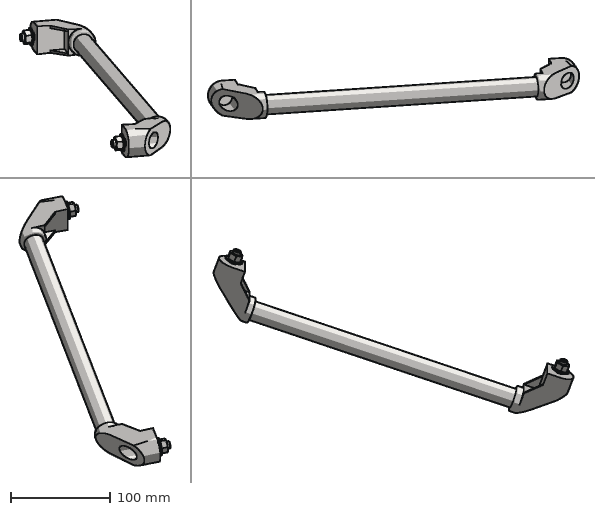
import cadquery as cq
import math

HOLE_SPACING = 350.0
BAR_DIAMETER = 20.0
BAR_HEIGHT = 42.0

FOOT_RADIUS = 15.0
FOOT_LENGTH = 28.0
FOOT_INNER_HEIGHT = 13.5
FOOT_OUTER_HEIGHT = 16.7
FOOT_RIM_HEIGHT = 1.0
SLOPE_RUN = 44.8
COLLAR_DIAMETER = 27.0
COLLAR_START = 43.0
COLLAR_END = 50.0
COLLAR_FILLET = 1.5
WEB_THICKNESS = 2.5
BORE_DIAMETER = 16.0
BORE_FLOOR = 10.0

STUD_DIAMETER = 8.0
STUD_LENGTH = 14.0
STUD_CHAMFER = 0.9
WASHER_DIAMETER = 18.2
WASHER_GAP = 2.6
WASHER_THICKNESS = 1.0
NUT_ACROSS_FLATS = 13.0
NUT_HEIGHT = 6.8
NUT_CHAMFER_ANGLE = 30.0

COLLAR_RADIUS = COLLAR_DIAMETER / 2
STUD_X = -HOLE_SPACING / 2
ARM_X = STUD_X - FOOT_RADIUS
FOOT_X = ARM_X + FOOT_LENGTH
COLLAR_X = ARM_X + COLLAR_START
COLLAR_END_X = ARM_X + COLLAR_END
COLLAR_BOTTOM = BAR_HEIGHT - COLLAR_RADIUS
COLLAR_TOP = BAR_HEIGHT + COLLAR_RADIUS


def cylinder_along_y(diameter, y_start, y_end):
    """Cylinder on the stud axis between two heights."""
    return (
        cq.Workplane("XZ", origin=(STUD_X, y_start, 0))
        .circle(diameter / 2)
        .extrude(y_start - y_end)
    )


def cylinder_along_x(diameter, x_start, x_end):
    """Cylinder on the bar axis between two X positions."""
    return (
        cq.Workplane("YZ", origin=(x_start, BAR_HEIGHT, 0))
        .circle(diameter / 2)
        .extrude(x_end - x_start)
    )


def make_arm_profile():
    """Cranked side profile of the arm, as thick as the foot is wide."""
    outline = [
        (ARM_X, 0),
        (FOOT_X, 0),
        (FOOT_X, FOOT_INNER_HEIGHT),
        (COLLAR_X, COLLAR_BOTTOM),
        (COLLAR_END_X, COLLAR_BOTTOM),
        (COLLAR_END_X, COLLAR_TOP),
        (ARM_X + SLOPE_RUN, COLLAR_TOP),
        (ARM_X, FOOT_OUTER_HEIGHT),
    ]
    return cq.Workplane("XY").polyline(outline).close().extrude(FOOT_RADIUS, both=True)


def make_drafted_section():
    """Section across the arm: flanks taper from the foot up to the round of the collar."""
    return (
        cq.Workplane("YZ", origin=(ARM_X, 0, 0))
        .moveTo(0, -FOOT_RADIUS)
        .lineTo(FOOT_RIM_HEIGHT, -FOOT_RADIUS)
        .lineTo(BAR_HEIGHT, -COLLAR_RADIUS)
        .threePointArc((COLLAR_TOP, 0), (BAR_HEIGHT, COLLAR_RADIUS))
        .lineTo(FOOT_RIM_HEIGHT, FOOT_RADIUS)
        .lineTo(0, FOOT_RADIUS)
        .close()
        .extrude(COLLAR_START)
    )


def make_rounded_plan():
    """Footprint of the arm with a semicircular outer end."""
    return (
        cq.Workplane("XZ")
        .moveTo(COLLAR_X, -FOOT_RADIUS)
        .lineTo(STUD_X, -FOOT_RADIUS)
        .threePointArc((ARM_X, 0), (STUD_X, FOOT_RADIUS))
        .lineTo(COLLAR_X, FOOT_RADIUS)
        .close()
        .extrude(-COLLAR_TOP)
    )


def make_collar():
    """Round socket that receives the bar, with its inner rim rounded."""
    collar = cylinder_along_x(COLLAR_DIAMETER, COLLAR_X, COLLAR_END_X)
    collar = collar.faces(">X").edges().fillet(COLLAR_FILLET)
    return collar.intersect(make_arm_profile())


def make_pocket():
    """Square-cornered pocket behind the inner slope, leaving a web on each side."""
    flank_half_width = (FOOT_RADIUS + COLLAR_RADIUS) / 2
    half_width = flank_half_width - WEB_THICKNESS
    return (
        cq.Workplane("XY")
        .moveTo(FOOT_X, 0)
        .lineTo(COLLAR_X, 0)
        .lineTo(COLLAR_X, COLLAR_BOTTOM)
        .lineTo(FOOT_X, COLLAR_BOTTOM)
        .close()
        .extrude(half_width, both=True)
    )


def make_nut(y_start):
    """Hexagon nut with its corners chamfered at both faces."""
    flat_radius = NUT_ACROSS_FLATS / 2
    corner_radius = flat_radius / math.cos(math.pi / 6)
    chamfer_width = corner_radius - flat_radius
    chamfer_height = chamfer_width * math.tan(math.radians(NUT_CHAMFER_ANGLE))
    hexagon = (
        cq.Workplane("XZ", origin=(STUD_X, y_start, 0))
        .transformed(rotate=(0, 0, 90))
        .polygon(6, 2 * corner_radius)
        .extrude(NUT_HEIGHT)
    )
    envelope = (
        cylinder_along_y(2 * corner_radius, y_start, y_start - NUT_HEIGHT)
        .faces("<Y")
        .edges()
        .chamfer(chamfer_height, chamfer_width)
        .faces(">Y")
        .edges()
        .chamfer(chamfer_height, chamfer_width)
    )
    return hexagon.intersect(envelope)


def make_fastener():
    """Stud with washer and hexagon nut below the foot."""
    washer_bottom = -WASHER_GAP - WASHER_THICKNESS
    stud = cylinder_along_y(STUD_DIAMETER, 0, -STUD_LENGTH).faces("<Y").chamfer(STUD_CHAMFER)
    washer = cylinder_along_y(WASHER_DIAMETER, -WASHER_GAP, washer_bottom)
    return stud.union(washer).union(make_nut(washer_bottom))


def make_arm():
    """Left arm complete with its fastener."""
    arm = make_arm_profile().intersect(make_drafted_section()).intersect(make_rounded_plan())
    arm = arm.union(make_collar()).cut(make_pocket())
    arm = arm.cut(cylinder_along_y(BORE_DIAMETER, BORE_FLOOR, COLLAR_TOP))
    return arm.union(make_fastener())


left_arm = make_arm()
right_arm = left_arm.mirror("YZ")
bar = cylinder_along_x(BAR_DIAMETER, COLLAR_END_X, -COLLAR_END_X)
result = bar.union(left_arm).union(right_arm)